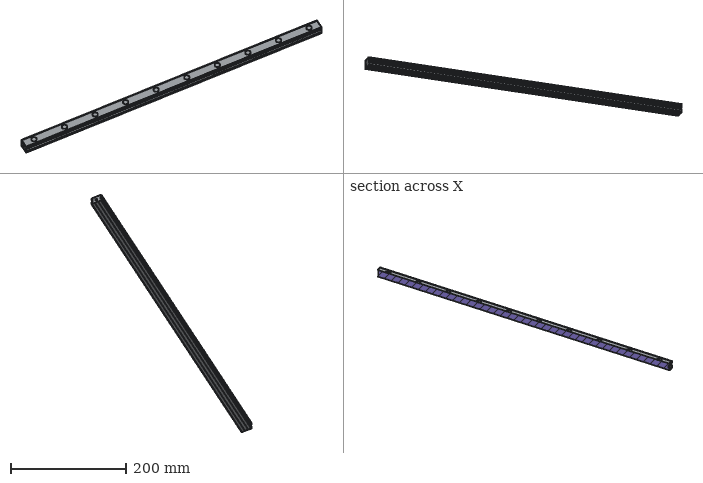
import cadquery as cq
import math

WIDTH = 20.0
LENGTH = 580.0
HEIGHT = 15.5

BOTTOM_CHAMFER = 1.0
RELIEF_HALF_WIDTH = 3.2
RELIEF_DEPTH = 0.5

NECK_HALF_WIDTH = 7.45
NECK_BOTTOM = 7.03
NECK_TOP = 8.7

LOWER_GROOVE_INNER_HALF_WIDTH = 9.13
LOWER_GROOVE_BOTTOM = 9.88
LAND_BOTTOM = 12.2
LAND_TOP = 13.86
UPPER_GROOVE_INNER_HALF_WIDTH = 8.47
UPPER_GROOVE_TOP = 15.0
LOWER_GROOVE_DEPTH = 0.8
UPPER_GROOVE_DEPTH = 0.6
TOP_HALF_WIDTH = 8.38

HOLE_PITCH = 60.0
HOLE_COUNT = 10
HOLE_DIAMETER = 9.5
HOLE_DEPTH = 0.2

END_HOLE_DIAMETER = 3.0
END_HOLE_DEPTH = 1.0
END_HOLE_OFFSET = -0.5
END_HOLE_HEIGHT = HEIGHT / 2


def groove_middle(lower, upper, depth):
    """Deepest point of a concave groove on the right side, measured inward from its chord."""
    run = upper[0] - lower[0]
    rise = upper[1] - lower[1]
    chord = math.hypot(run, rise)
    middle_x = (lower[0] + upper[0]) / 2
    middle_z = (lower[1] + upper[1]) / 2
    return (middle_x - depth * rise / chord, middle_z + depth * run / chord)


def rail_body():
    """Extrude the rail section along Y, centred on the origin, and mirror it about X = 0."""
    side = WIDTH / 2
    foot_side_top = NECK_BOTTOM - (side - NECK_HALF_WIDTH)
    lower_groove_start = (LOWER_GROOVE_INNER_HALF_WIDTH, LOWER_GROOVE_BOTTOM)
    lower_groove_end = (side, LAND_BOTTOM)
    upper_groove_start = (side, LAND_TOP)
    upper_groove_end = (UPPER_GROOVE_INNER_HALF_WIDTH, UPPER_GROOVE_TOP)
    half_section = (
        cq.Workplane("XZ")
        .moveTo(0, RELIEF_DEPTH)
        .lineTo(RELIEF_HALF_WIDTH, RELIEF_DEPTH)
        .lineTo(RELIEF_HALF_WIDTH, 0)
        .lineTo(side - BOTTOM_CHAMFER, 0)
        .lineTo(side, BOTTOM_CHAMFER)
        .lineTo(side, foot_side_top)
        .lineTo(NECK_HALF_WIDTH, NECK_BOTTOM)
        .lineTo(NECK_HALF_WIDTH, NECK_TOP)
        .lineTo(*lower_groove_start)
        .threePointArc(
            groove_middle(lower_groove_start, lower_groove_end, LOWER_GROOVE_DEPTH),
            lower_groove_end,
        )
        .lineTo(*upper_groove_start)
        .threePointArc(
            groove_middle(upper_groove_start, upper_groove_end, UPPER_GROOVE_DEPTH),
            upper_groove_end,
        )
        .lineTo(TOP_HALF_WIDTH, HEIGHT)
        .lineTo(0, HEIGHT)
    )
    return half_section.mirrorY().extrude(LENGTH / 2, both=True)


def mounting_holes():
    """Row of shallow flat-bottomed recesses in the top face."""
    return (
        cq.Workplane("XY", origin=(0, 0, HEIGHT))
        .rarray(1, HOLE_PITCH, 1, HOLE_COUNT)
        .circle(HOLE_DIAMETER / 2)
        .extrude(-HOLE_DEPTH)
    )


def end_hole():
    """Blind hole in the front end face."""
    return (
        cq.Workplane("XZ", origin=(END_HOLE_OFFSET, -LENGTH / 2, END_HOLE_HEIGHT))
        .circle(END_HOLE_DIAMETER / 2)
        .extrude(-END_HOLE_DEPTH)
    )


result = rail_body().cut(mounting_holes()).cut(end_hole())